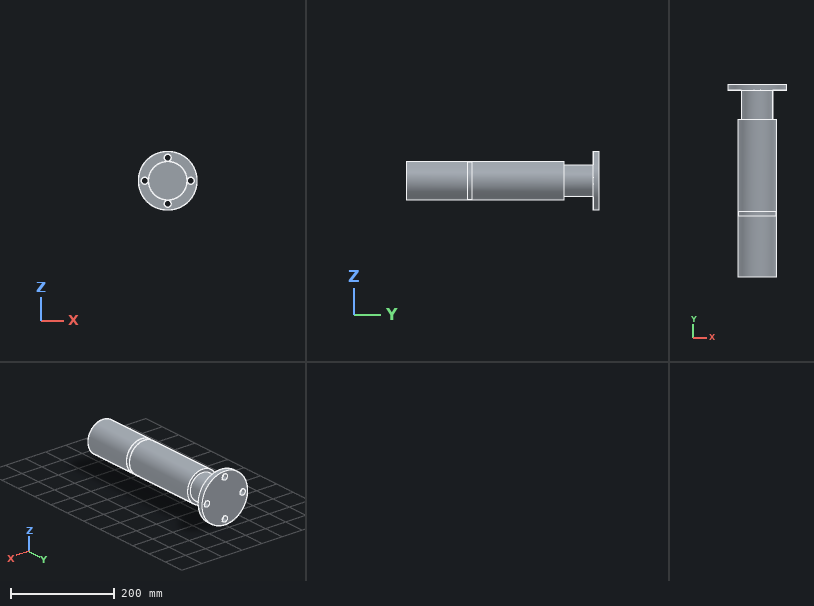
import cadquery as cq

total_length = 373.0

flange_diameter = 114.0
flange_thickness = 12.0
bolt_hole_diameter = 13.0
bolt_circle_diameter = 89.0
bolt_hole_count = 4

neck_diameter = 61.0
neck_length = 56.0

body_diameter = 75.0
rear_body_length = 178.0
groove_width = 9.0
groove_depth = 0.5
groove_diameter = body_diameter - 2 * groove_depth
front_body_length = (
    total_length - flange_thickness - neck_length - rear_body_length - groove_width
)


def make_flange():
    """Round plate with through bolt holes, running from Y = 0 toward -Y."""
    return (
        cq.Workplane("XZ")
        .circle(flange_diameter / 2)
        .extrude(flange_thickness)
        .faces("<Y")
        .workplane(origin=(0, -flange_thickness, 0))
        .polarArray(bolt_circle_diameter / 2, 0, 360, bolt_hole_count)
        .hole(bolt_hole_diameter)
    )


def add_cylinder(part, rear_y, diameter, length):
    """Extend the part toward -Y with a coaxial cylinder starting at rear_y."""
    cylinder = (
        cq.Workplane("XZ", origin=(0, rear_y, 0))
        .circle(diameter / 2)
        .extrude(length)
    )
    return part.union(cylinder)


shaft_sections = [
    (neck_diameter, neck_length),
    (body_diameter, rear_body_length),
    (groove_diameter, groove_width),
    (body_diameter, front_body_length),
]

result = make_flange()
section_rear_y = -flange_thickness
for section_diameter, section_length in shaft_sections:
    result = add_cylinder(result, section_rear_y, section_diameter, section_length)
    section_rear_y -= section_length